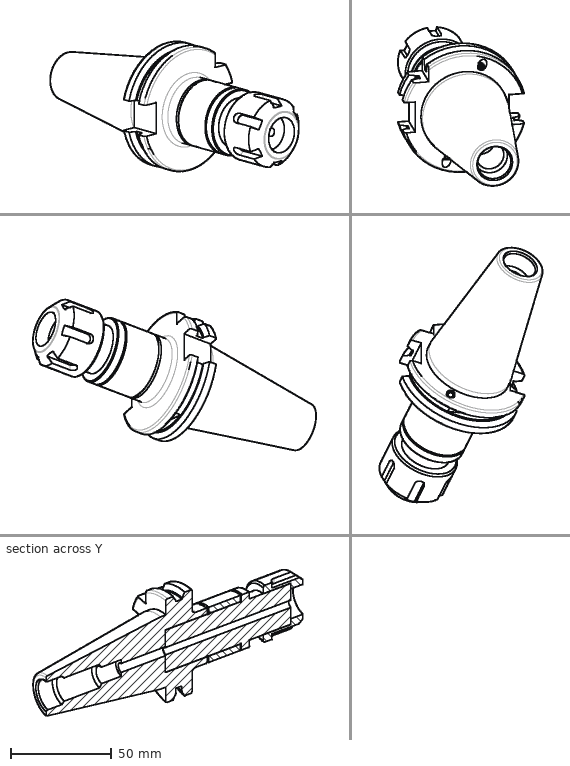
import cadquery as cq
import math


OVERALL_LENGTH = 153.6

GAUGE_RADIUS = 44.45 / 2
TAPER_SLOPE = 7 / 48
TAPER_LENGTH = 68.4
TAPER_REAR_X = -TAPER_LENGTH
TAPER_REAR_RADIUS = GAUGE_RADIUS - TAPER_SLOPE * TAPER_LENGTH
EDGE_FILLET = 1.0

FLANGE_RADIUS = 63.55 / 2
FLANGE_REAR_X = 3.2
FLANGE_FRONT_X = 19.1

GROOVE_CENTRE_X = 11.05
GROOVE_MOUTH_WIDTH = 6.9
GROOVE_FLOOR_WIDTH = 3.6
GROOVE_HALF_ANGLE = math.radians(30)
GROOVE_FLOOR_RADIUS = 28.1
FLOOR_FLAT_DISTANCE = 24.2
FLOOR_FLAT_ANGLE = 16
FLOOR_FLAT_WIDTH = 3.2

KEY_SLOT_WIDTH = 16.1
KEY_SLOT_FLOOR_FRONT = 22.8
KEY_SLOT_FLOOR_BACK = 25.0
NOTCH_Y = 18.2
NOTCH_Z = 18.3

BARREL_RADIUS = 17.0
SHANK_FILLET = 2.0
SHANK_FRONT_X = 28.3
SHANK_CHAMFER = 0.9
SLEEVE_REAR_X = 28.8
SLEEVE_FRONT_X = 47.9
COLLAR_REAR_X = 48.3
COLLAR_FRONT_X = 53.3
COLLAR_CHAMFER = 0.5
SPINDLE_RADIUS = 12.75
SPINDLE_REAR_X = FLANGE_REAR_X
SPINDLE_FRONT_X = 78.0
COOLANT_RADIUS = 2.1

PILOT_RADIUS = 8.5
PILOT_MOUTH_RADIUS = 9.1
PILOT_MOUTH_LENGTH = 1.1
PILOT_DEPTH = 9.5
THREAD_RADIUS = 7.0
THREAD_DEPTH = 32.0
INNER_BORE_RADIUS = 4.9
INNER_BORE_DEPTH = 45.0
DRILL_CONE_SLOPE = math.tan(math.radians(30))
PASSAGE_RADIUS = 2.6

NUT_RADIUS = 17.5
NUT_REAR_X = 61.2
NUT_FRONT_X = TAPER_REAR_X + OVERALL_LENGTH
NUT_CONE_DROP = 5.5
NUT_FRONT_OPENING_RADIUS = 9.0
NUT_CHAMFER = 1.0
NUT_FRONT_FILLET = 0.6
NUT_SLOT_COUNT = 6
NUT_SLOT_WIDTH = 5.0
NUT_SLOT_REAR_X = 66.8
NUT_SLOT_FLOOR_RADIUS = 14.2

SCREW_RADIUS = 2.1
SCREW_LENGTH = 5.0
SCREW_PITCH_RADIUS = 26.8
SCREW_ANGLES = (20, 200)
SCREW_TILT = math.radians(45)
SCREW_RECESS = SCREW_RADIUS * math.tan(SCREW_TILT)
HEX_ACROSS_FLATS = 2.5
HEX_DEPTH = 2.0


def cylinder(radius, start_x, end_x):
    """Cylinder about the tool axis."""
    return cq.Workplane("YZ").workplane(offset=start_x).circle(radius).extrude(end_x - start_x)


def revolve_about_x(profile):
    """Turns a closed (x, radius) profile about the tool axis."""
    return cq.Workplane("XZ").polyline(profile).close().revolve(360, (0, 0, 0), (1, 0, 0))


def make_taper():
    taper = revolve_about_x([
        (TAPER_REAR_X, 0),
        (TAPER_REAR_X, TAPER_REAR_RADIUS),
        (0, GAUGE_RADIUS),
        (FLANGE_REAR_X, GAUGE_RADIUS),
        (FLANGE_REAR_X, 0),
    ])
    return taper.faces("<X").edges().fillet(EDGE_FILLET)


def make_gripper_groove():
    """Ring cutter: a V whose sides steepen to square walls at the floor."""
    mouth = GROOVE_MOUTH_WIDTH / 2
    floor = GROOVE_FLOOR_WIDTH / 2
    wall_radius = FLANGE_RADIUS - (mouth - floor) / math.tan(GROOVE_HALF_ANGLE)
    return revolve_about_x([
        (GROOVE_CENTRE_X - mouth, FLANGE_RADIUS),
        (GROOVE_CENTRE_X - floor, wall_radius),
        (GROOVE_CENTRE_X - floor, GROOVE_FLOOR_RADIUS),
        (GROOVE_CENTRE_X + floor, GROOVE_FLOOR_RADIUS),
        (GROOVE_CENTRE_X + floor, wall_radius),
        (GROOVE_CENTRE_X + mouth, FLANGE_RADIUS),
    ])


def make_floor_flat():
    """Cutter for the flat sunk into the groove floor."""
    depth = GROOVE_FLOOR_RADIUS - FLOOR_FLAT_DISTANCE
    half_chord = math.sqrt(GROOVE_FLOOR_RADIUS**2 - FLOOR_FLAT_DISTANCE**2)
    flat = cq.Workplane("XY").box(FLOOR_FLAT_WIDTH, 2 * half_chord, depth)
    flat = flat.translate((GROOVE_CENTRE_X, 0, -FLOOR_FLAT_DISTANCE - depth / 2))
    return flat.rotate((0, 0, 0), (1, 0, 0), -FLOOR_FLAT_ANGLE)


def flange_cutter(y_start, y_end, z_start, z_end):
    """Block through the whole flange thickness between the given Y and Z limits."""
    return cq.Workplane("XY").box(
        FLANGE_FRONT_X - FLANGE_REAR_X, y_end - y_start, z_end - z_start, centered=False
    ).translate((FLANGE_REAR_X, y_start, z_start))


def make_flange():
    flange = cylinder(FLANGE_RADIUS, FLANGE_REAR_X, FLANGE_FRONT_X).edges().fillet(EDGE_FILLET)
    flange = flange.cut(make_gripper_groove())
    flange = flange.cut(make_floor_flat())
    half_slot = KEY_SLOT_WIDTH / 2
    flange = flange.cut(flange_cutter(-FLANGE_RADIUS, -KEY_SLOT_FLOOR_FRONT, -half_slot, half_slot))
    flange = flange.cut(flange_cutter(KEY_SLOT_FLOOR_BACK, FLANGE_RADIUS, -half_slot, half_slot))
    return flange.cut(flange_cutter(NOTCH_Y, FLANGE_RADIUS, NOTCH_Z, FLANGE_RADIUS))


def make_shank():
    """Front shank with a concave fillet that runs out on the flange face."""
    fillet_end_x = FLANGE_FRONT_X + SHANK_FILLET
    fillet_top = BARREL_RADIUS + SHANK_FILLET
    arc_offset = SHANK_FILLET * (1 - math.sqrt(0.5))
    return (
        cq.Workplane("XY")
        .moveTo(FLANGE_REAR_X, 0)
        .lineTo(FLANGE_REAR_X, GAUGE_RADIUS)
        .lineTo(FLANGE_FRONT_X, GAUGE_RADIUS)
        .lineTo(FLANGE_FRONT_X, fillet_top)
        .threePointArc(
            (FLANGE_FRONT_X + arc_offset, BARREL_RADIUS + arc_offset),
            (fillet_end_x, BARREL_RADIUS),
        )
        .lineTo(SHANK_FRONT_X - SHANK_CHAMFER, BARREL_RADIUS)
        .lineTo(SHANK_FRONT_X, BARREL_RADIUS - SHANK_CHAMFER)
        .lineTo(SHANK_FRONT_X, 0)
        .close()
        .revolve(360, (0, 0, 0), (1, 0, 0))
    )


def make_rear_bore():
    """Cutter for the pilot, thread and drill bores, and the coolant passage beyond them."""
    pilot_end_x = TAPER_REAR_X + PILOT_DEPTH
    thread_end_x = TAPER_REAR_X + THREAD_DEPTH
    bore_end_x = TAPER_REAR_X + INNER_BORE_DEPTH
    return revolve_about_x([
        (TAPER_REAR_X, 0),
        (TAPER_REAR_X, PILOT_MOUTH_RADIUS),
        (TAPER_REAR_X + PILOT_MOUTH_LENGTH, PILOT_RADIUS),
        (pilot_end_x, PILOT_RADIUS),
        (pilot_end_x + PILOT_RADIUS - THREAD_RADIUS, THREAD_RADIUS),
        (thread_end_x, THREAD_RADIUS),
        (thread_end_x + DRILL_CONE_SLOPE * (THREAD_RADIUS - INNER_BORE_RADIUS), INNER_BORE_RADIUS),
        (bore_end_x, INNER_BORE_RADIUS),
        (bore_end_x, PASSAGE_RADIUS),
        (SPINDLE_REAR_X, PASSAGE_RADIUS),
        (SPINDLE_REAR_X, 0),
    ])


def screw_plane(angle):
    """Plane across a screw axis at the flange face; its normal slopes in towards the tool axis."""
    swing = math.radians(angle)
    out_y = -math.sin(swing)
    out_z = math.cos(swing)
    inward = math.sin(SCREW_TILT)
    return cq.Plane(
        origin=(FLANGE_REAR_X, SCREW_PITCH_RADIUS * out_y, SCREW_PITCH_RADIUS * out_z),
        xDir=(0, out_z, -out_y),
        normal=(math.cos(SCREW_TILT), -inward * out_y, -inward * out_z),
    )


def make_screw_hole(angle):
    """Blind hole cutter that also reaches out past the flange face."""
    hole_depth = SCREW_RECESS + SCREW_LENGTH
    return (
        cq.Workplane(screw_plane(angle))
        .workplane(offset=-SCREW_RECESS)
        .circle(SCREW_RADIUS)
        .extrude(SCREW_RECESS + hole_depth)
    )


def make_screw(angle):
    hex_diameter = HEX_ACROSS_FLATS / math.cos(math.radians(30))
    head = cq.Workplane(screw_plane(angle)).workplane(offset=SCREW_RECESS)
    screw = head.circle(SCREW_RADIUS).extrude(SCREW_LENGTH)
    return screw.cut(head.polygon(6, hex_diameter).extrude(HEX_DEPTH))


def make_holder():
    holder = make_taper().union(make_flange()).union(make_shank())
    holder = holder.cut(make_rear_bore())
    holder = holder.cut(cylinder(SPINDLE_RADIUS, SPINDLE_REAR_X, SHANK_FRONT_X))
    for angle in SCREW_ANGLES:
        holder = holder.cut(make_screw_hole(angle))
    return holder


def make_sleeve():
    sleeve = cylinder(BARREL_RADIUS, SLEEVE_REAR_X, SLEEVE_FRONT_X)
    return sleeve.cut(cylinder(SPINDLE_RADIUS, SLEEVE_REAR_X, SLEEVE_FRONT_X))


def make_spindle():
    collar = cylinder(BARREL_RADIUS, COLLAR_REAR_X, COLLAR_FRONT_X).edges().chamfer(COLLAR_CHAMFER)
    spindle = cylinder(SPINDLE_RADIUS, SPINDLE_REAR_X, SPINDLE_FRONT_X).union(collar)
    return spindle.cut(cylinder(COOLANT_RADIUS, SPINDLE_REAR_X, SPINDLE_FRONT_X))


def make_nut_slot():
    """Wrench slot cutter on the +Z side: round at the rear and open at the front."""
    half_width = NUT_SLOT_WIDTH / 2
    round_centre_x = NUT_SLOT_REAR_X + half_width
    return (
        cq.Workplane("XY")
        .workplane(offset=NUT_SLOT_FLOOR_RADIUS)
        .moveTo(NUT_FRONT_X, half_width)
        .lineTo(round_centre_x, half_width)
        .threePointArc((NUT_SLOT_REAR_X, 0), (round_centre_x, -half_width))
        .lineTo(NUT_FRONT_X, -half_width)
        .close()
        .extrude(NUT_RADIUS - NUT_SLOT_FLOOR_RADIUS)
    )


def make_nut():
    nut = cylinder(NUT_RADIUS, NUT_REAR_X, NUT_FRONT_X)
    nut = nut.faces("<X").edges().chamfer(NUT_CHAMFER)
    nut = nut.faces(">X").edges().chamfer(NUT_CONE_DROP)
    nut = nut.faces(">X").edges().fillet(NUT_FRONT_FILLET)
    nut = nut.cut(cylinder(SPINDLE_RADIUS, NUT_REAR_X, SPINDLE_FRONT_X))
    nut = nut.cut(cylinder(NUT_FRONT_OPENING_RADIUS, SPINDLE_FRONT_X, NUT_FRONT_X))
    for index in range(NUT_SLOT_COUNT):
        turn = index * 360 / NUT_SLOT_COUNT
        nut = nut.cut(make_nut_slot().rotate((0, 0, 0), (1, 0, 0), turn))
    return nut


holder = make_holder()
sleeve = make_sleeve()
spindle = make_spindle()
nut = make_nut()
screws = [make_screw(angle) for angle in SCREW_ANGLES]

result = cq.Compound.makeCompound([
    holder.val(),
    sleeve.val(),
    spindle.val(),
    nut.val(),
    *[screw.val() for screw in screws],
])